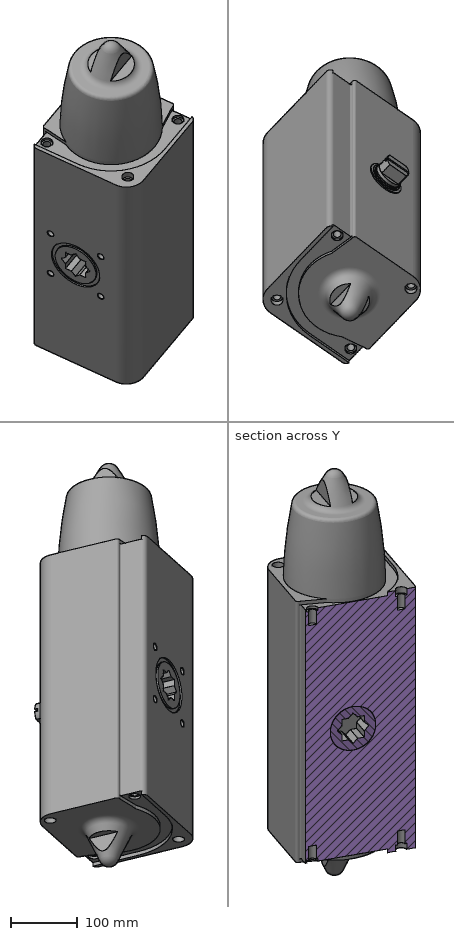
import cadquery as cq
import math


overall_length = 680.0
block_length = 439.0
block_width = 186.0
lobe_side = 84.5
far_side = block_width - lobe_side
notch_depth = 7.5
notch_reach = 60.0
large_corner_radius = 30.5
small_corner_radius = 8.0
lobe_corner_radius = 4.0
notch_root_radius = 2.0
block_end = block_length / 2

recess_depth = 6.0
recess_radius = far_side - recess_depth
lobe_edge_skew = 7.5
lobe_edge_end = 34.0

cover_height = 126.5
cover_base_radius = 77.0
cover_middle_radius = 73.0
cover_top_radius = 63.0
cover_edge_fillet = 6.0

knob_width = 35.5
knob_flare_radius = 13.0
top_knob_height = 52.5
top_knob_tip_radius = 15.5
top_knob_half_angle = 30.0
top_knob_ledge = 7.5
bottom_knob_height = overall_length - block_length - cover_height - top_knob_height
bottom_knob_tip_radius = 15.0
bottom_knob_half_angle = 24.5
bottom_knob_ledge = 18.5

end_screw_pitch = 143.0
end_screw_center = 6.0
end_screw_head_diameter = 18.0
end_screw_head_depth = 4.0
end_screw_diameter = 11.5
end_screw_depth = 27.0
mount_pitch = 88.5
mount_hole_diameter = 10.0
mount_hole_depth = 20.5
mount_hole_mouth = 11.5

shaft_diameter = 72.0
shaft_groove_diameter = 85.0
shaft_groove_depth = 3.0
journal_diameter = 58.0
neck_diameter = 43.0
tang_diameter = 41.5
shaft_protrusion = 30.5
collar_step = 2.0
collar_diameters = [journal_diameter, 49.5, 45.0]
tang_length = 19.0
tang_thickness = 26.5
slot_width = 4.0
slot_depth = 5.0
socket_side = 35.5
socket_depth = 54.5

clearance = 34.0


def block():
    """Square column with two notched corners, drawn about the Z axis."""
    shelf = lobe_side - notch_depth
    corners = [
        (-lobe_side, lobe_side, large_corner_radius),
        (notch_reach, lobe_side, lobe_corner_radius),
        (notch_reach, shelf, notch_root_radius),
        (far_side, shelf, small_corner_radius),
        (far_side, -far_side, large_corner_radius),
        (-shelf, -far_side, small_corner_radius),
        (-shelf, -notch_reach, notch_root_radius),
        (-lobe_side, -notch_reach, lobe_corner_radius),
    ]
    outline = [(x, y) for x, y, _ in corners]
    body = cq.Workplane("XY").polyline(outline).close().extrude(block_end, both=True)
    for x, y, radius in corners:
        body = body.edges(cq.selectors.NearestToPointSelector((x, y, 0))).fillet(radius)
    return body


def end_recess():
    """Cutter for the sunk area around the round pad, open at both notched corners."""
    height = recess_depth + clearance
    reach = lobe_side + clearance
    size = recess_radius + reach
    floor = block_end - recess_depth
    area = (
        cq.Workplane("XY", origin=(-reach, -recess_radius, floor))
        .rect(size, size, centered=False)
        .extrude(height)
        .edges("|Z and >X and <Y")
        .fillet(recess_radius)
    )
    shelf = lobe_side - notch_depth
    inner_edge = notch_reach + lobe_edge_skew
    lobe = (
        cq.Workplane("XY", origin=(0, 0, floor))
        .polyline([
            (-reach, reach), (notch_reach, reach), (notch_reach, shelf), (inner_edge, lobe_edge_end),
            (-lobe_edge_end, -inner_edge), (-shelf, -notch_reach), (-reach, -notch_reach),
        ])
        .close()
        .extrude(height)
    )
    pad = cq.Workplane("XY", origin=(0, 0, floor)).circle(cover_base_radius).extrude(height)
    return area.cut(lobe).cut(pad)


def end_screw_holes():
    """Cutter for the four counterbored screw holes in the upper end."""
    floor = block_end - recess_depth

    def pattern(z):
        return (
            cq.Workplane("XY", origin=(end_screw_center, -end_screw_center, z))
            .rect(end_screw_pitch, end_screw_pitch, forConstruction=True)
            .vertices()
        )

    head_floor = floor - end_screw_head_depth
    heads = pattern(head_floor).circle(end_screw_head_diameter / 2).extrude(block_end - head_floor)
    shanks = pattern(floor - end_screw_depth).circle(end_screw_diameter / 2).extrude(end_screw_depth)
    return heads.union(shanks)


def spring_cover():
    """Bulged cover with a rounded top edge."""
    return (
        cq.Workplane("XZ")
        .moveTo(0, 0)
        .lineTo(cover_base_radius, 0)
        .threePointArc((cover_middle_radius, cover_height / 2), (cover_top_radius, cover_height))
        .lineTo(0, cover_height)
        .close()
        .revolve(360, (0, 0, 0), (0, 1, 0))
        .faces(">Z").edges().fillet(cover_edge_fillet)
        .translate((0, 0, block_end))
    )


def knob(height, tip_radius, half_angle, ledge):
    """Flared cone with a ball tip and two flats, standing on Z = 0."""
    angle = math.radians(half_angle)
    ball_center = height - tip_radius
    base_radius = tip_radius / math.cos(angle) + ball_center * math.tan(angle)
    tip_start = (tip_radius * math.cos(angle), ball_center + tip_radius * math.sin(angle))
    middle_angle = (math.pi / 2 + angle) / 2
    tangent = knob_flare_radius / math.tan(middle_angle)
    flare_end = (base_radius - tangent * math.sin(angle), tangent * math.cos(angle))
    flare_center = base_radius + tangent
    flare_middle = (
        flare_center - knob_flare_radius * math.cos(middle_angle),
        knob_flare_radius - knob_flare_radius * math.sin(middle_angle),
    )
    body = (
        cq.Workplane("XZ")
        .moveTo(0, 0)
        .lineTo(flare_center, 0)
        .threePointArc(flare_middle, flare_end)
        .lineTo(*tip_start)
        .tangentArcPoint((0, height), relative=False)
        .close()
        .revolve(360, (0, 0, 0), (0, 1, 0))
    )
    flat_width = base_radius
    for side in (-1, 1):
        flat = (
            cq.Workplane("XY", origin=(side * (knob_width + flat_width) / 2, 0, ledge))
            .rect(flat_width, 2 * base_radius)
            .extrude(height)
        )
        body = body.cut(flat)
    return body


def mount_holes():
    """Cutter for the four countersunk mounting holes in the front face."""
    mouth_depth = (mount_hole_mouth - mount_hole_diameter) / 2
    profile = [
        (0, 0),
        (mount_hole_mouth / 2, 0),
        (mount_hole_diameter / 2, mouth_depth),
        (mount_hole_diameter / 2, mount_hole_depth),
        (0, mount_hole_depth),
    ]
    hole = cq.Workplane("XY").polyline(profile).close().revolve(360, (0, 0, 0), (0, 1, 0))
    holes = cq.Workplane("XY")
    for x in (-mount_pitch / 2, mount_pitch / 2):
        for z in (-mount_pitch / 2, mount_pitch / 2):
            holes = holes.add(hole.translate((x, -far_side, z)))
    return holes.combine()


def along_y(diameter, y_start, y_end):
    """Cylinder on the Y axis between two Y positions."""
    return cq.Workplane("XZ", origin=(0, y_start, 0)).circle(diameter / 2).extrude(y_start - y_end)


def shaft_core():
    """Part of the shaft inside the block; also the shape of its bore."""
    return along_y(shaft_diameter, -far_side, 0).union(along_y(journal_diameter, 0, lobe_side))


def make_housing():
    end_cuts = end_recess().union(end_screw_holes())
    top_knob = knob(top_knob_height, top_knob_tip_radius, top_knob_half_angle, top_knob_ledge)
    bottom_knob = knob(
        bottom_knob_height, bottom_knob_tip_radius, bottom_knob_half_angle, bottom_knob_ledge
    )
    return (
        block()
        .cut(end_cuts)
        .cut(end_cuts.mirror("XY"))
        .union(spring_cover())
        .union(top_knob.translate((0, 0, block_end + cover_height)))
        .union(bottom_knob.mirror("XY").translate((0, 0, -block_end)))
        .cut(mount_holes())
        .cut(along_y(shaft_groove_diameter, -far_side, shaft_groove_depth - far_side))
        .cut(shaft_core())
    )


def make_shaft():
    shaft_end = lobe_side + shaft_protrusion
    tang_start = shaft_end - tang_length
    body = (
        shaft_core()
        .union(along_y(neck_diameter, lobe_side, tang_start))
        .union(along_y(tang_diameter, tang_start, shaft_end))
    )
    for index, diameter in enumerate(collar_diameters):
        start = lobe_side + index * collar_step
        body = body.union(along_y(diameter, start, start + collar_step))

    for side in (-1, 1):
        flat = cq.Workplane("XY").box(tang_diameter, tang_length, tang_diameter).translate(
            (0, tang_start + tang_length / 2, side * (tang_thickness + tang_diameter) / 2)
        )
        body = body.cut(flat)

    slot = cq.Workplane("XY").box(tang_diameter, 2 * slot_depth, slot_width)
    body = body.cut(slot.translate((0, shaft_end, 0)))

    for turn in (0, 45):
        square = cq.Workplane("XY").box(socket_side, 2 * socket_depth, socket_side)
        body = body.cut(square.rotate((0, 0, 0), (0, 1, 0), turn).translate((0, -far_side, 0)))
    return body


housing = make_housing()
shaft = make_shaft()
result = cq.Compound.makeCompound([housing.val(), shaft.val()])